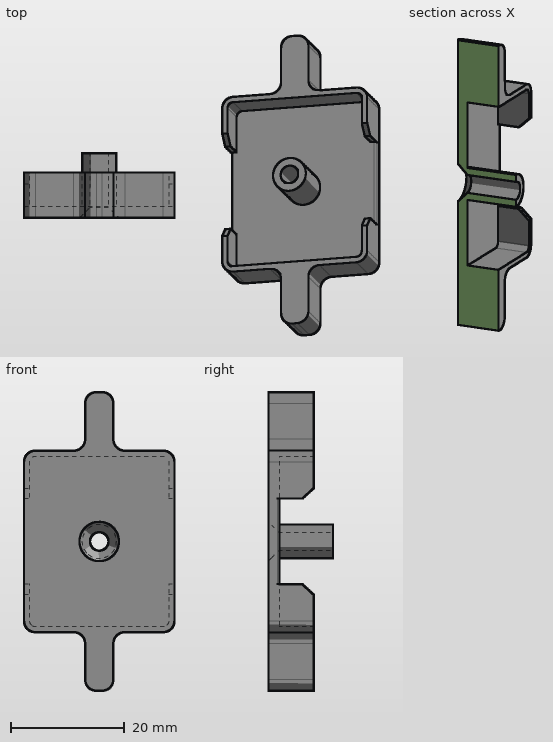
import cadquery as cq
import math

overall_height = 52.6
body_width = 26.5
body_height = 32.0
tab_width = 5.0
corner_radius = 2.0

plate_depth = 8.0
pin_end = 11.4
floor_depth = 2.0

channel_height = 15.05
mouth_chamfer_depth = 2.0
mouth_chamfer_height = 1.85
floor_edge_radius = 0.4

wall_thickness = 1.0

pin_diameter = 6.0
hole_diameter = 3.2
countersink_diameter = 6.95
countersink_angle = 90


def make_plate():
    """Rounded body with a centred tab at the top and bottom."""
    body = cq.Workplane("XY").box(
        body_width, plate_depth, body_height, centered=(True, False, True)
    )
    tabs = cq.Workplane("XY").box(
        tab_width, plate_depth, overall_height, centered=(True, False, True)
    )
    return body.union(tabs).edges("|Y").fillet(corner_radius)


def make_channel():
    """Channel along X, flared at the back face."""
    half = channel_height / 2
    mouth_half = half + mouth_chamfer_height
    flare_start = plate_depth - mouth_chamfer_depth
    return (
        cq.Workplane("YZ")
        .polyline([
            (floor_depth, -half),
            (flare_start, -half),
            (plate_depth, -mouth_half),
            (plate_depth, mouth_half),
            (flare_start, half),
            (floor_depth, half),
        ])
        .close()
        .extrude(body_width / 2, both=True)
    )


def make_pocket():
    """Rectangular recess that leaves a thin wall around the back of the body."""
    return (
        cq.Workplane("XY", origin=(0, floor_depth, 0))
        .box(
            body_width - 2 * wall_thickness,
            plate_depth - floor_depth,
            body_height - 2 * wall_thickness,
            centered=(True, False, True),
        )
        .edges("|Y")
        .fillet(corner_radius - wall_thickness)
    )


def make_edge_rounding(side):
    """Waste outside the rounded channel floor edge on one side."""
    outer_x = side * body_width / 2
    inner_x = outer_x - side * floor_edge_radius
    tangent_y = floor_depth - floor_edge_radius
    arc_offset = floor_edge_radius * math.sqrt(0.5)
    return (
        cq.Workplane("XY")
        .moveTo(inner_x, floor_depth)
        .threePointArc(
            (inner_x + side * arc_offset, tangent_y + arc_offset),
            (outer_x, tangent_y),
        )
        .lineTo(outer_x, floor_depth)
        .close()
        .extrude(channel_height / 2, both=True)
    )


def make_pin():
    """Round pin standing on the channel floor."""
    return (
        cq.Workplane("XZ", origin=(0, floor_depth, 0))
        .circle(pin_diameter / 2)
        .extrude(floor_depth - pin_end)
    )


plate = make_plate().cut(make_pocket()).cut(make_channel())
for side in (-1, 1):
    plate = plate.cut(make_edge_rounding(side))

result = (
    plate.union(make_pin())
    .faces("<Y")
    .workplane(origin=(0, 0, 0))
    .cskHole(hole_diameter, countersink_diameter, countersink_angle)
)